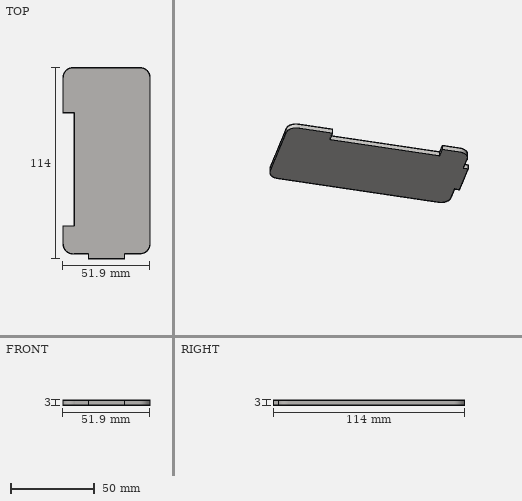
import cadquery as cq
import math

plate_width = 51.9
plate_length = 111.0
thickness = 3.0
corner_radius = 6.0

front_arc_start_y = 6.0
front_arc_end_x = 7.4
front_arc_radius = (front_arc_end_x**2 + front_arc_start_y**2) / (2 * front_arc_end_x)

tab_length = 3.02
tab_width = 21.6
tab_left = 15.2

notch_depth = 6.6
notch_start = 16.7
notch_length = 67.3


def block(x, y, width, length):
    """Full-thickness rectangular block with its lowest corner at (x, y)."""
    return cq.Workplane("XY").box(width, length, thickness, centered=False).translate((x, y, 0))


def make_plate():
    """Plate with three equal rounded corners and the larger -X/-Y one."""
    half_diagonal = front_arc_radius * math.sqrt(0.5)
    front_arc_middle = (front_arc_radius - half_diagonal, front_arc_start_y - half_diagonal)
    outline = (
        cq.Workplane("XY")
        .moveTo(front_arc_end_x, 0)
        .lineTo(plate_width - corner_radius, 0)
        .tangentArcPoint((plate_width, corner_radius), relative=False)
        .lineTo(plate_width, plate_length - corner_radius)
        .tangentArcPoint((plate_width - corner_radius, plate_length), relative=False)
        .lineTo(corner_radius, plate_length)
        .tangentArcPoint((0, plate_length - corner_radius), relative=False)
        .lineTo(0, front_arc_start_y)
        .threePointArc(front_arc_middle, (front_arc_end_x, 0))
        .close()
    )
    return outline.extrude(thickness)


tab = block(tab_left, -tab_length, tab_width, tab_length)
side_notch = block(0, notch_start, notch_depth, notch_length)

result = make_plate().union(tab).cut(side_notch)